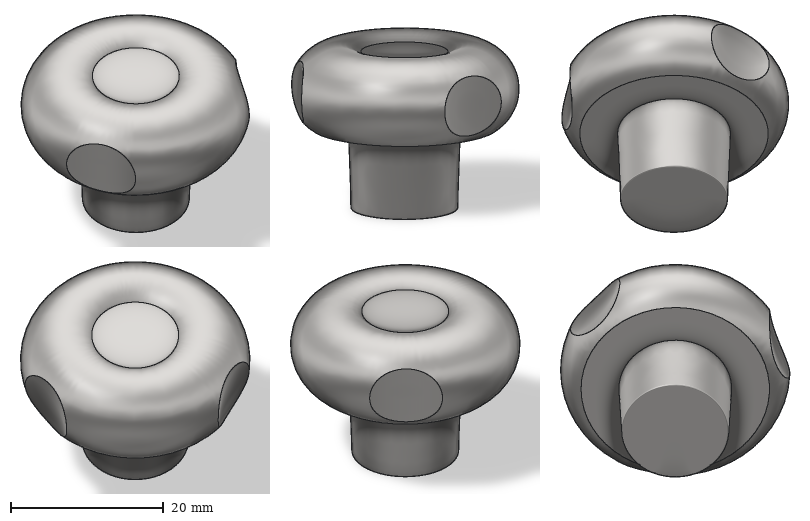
import cadquery as cq
import math

head_diameter = 30.0
tube_radius = 6.0
ring_radius = head_diameter / 2 - tube_radius
total_height = 22.0
ring_height = total_height - tube_radius
core_half_height = 5.0
head_bottom = ring_height - core_half_height
dish_floor = ring_height + core_half_height
tube_half_chord = math.sqrt(tube_radius**2 - core_half_height**2)
underside_radius = ring_radius + tube_half_chord
dish_radius = ring_radius - tube_half_chord

stem_bottom_radius = 7.0
stem_draft_angle = 2.0
stem_top_radius = stem_bottom_radius + head_bottom * math.tan(math.radians(stem_draft_angle))
stem_edge_fillet = 0.2

recess_angles = (-90.0, 28.8, 150.0)
recess_radius = 16.0
recess_depth = 1.5
recess_axis_distance = head_diameter / 2 - recess_depth + recess_radius


def make_head():
    """Revolved head with a shallow round dish in its top."""
    profile = (
        cq.Workplane("XZ")
        .moveTo(0, head_bottom)
        .lineTo(underside_radius, head_bottom)
        .threePointArc((ring_radius + tube_radius, ring_height), (dish_radius, dish_floor))
        .lineTo(0, dish_floor)
        .close()
    )
    return profile.revolve(360, (0, 0, 0), (0, 1, 0))


def make_stem():
    """Solid stem that narrows towards its rounded lower end."""
    profile = (
        cq.Workplane("XZ")
        .lineTo(stem_bottom_radius, 0)
        .lineTo(stem_top_radius, head_bottom)
        .lineTo(0, head_bottom)
        .close()
    )
    stem = profile.revolve(360, (0, 0, 0), (0, 1, 0))
    return stem.faces("<Z").edges().fillet(stem_edge_fillet)


def make_recess_cutter(angle):
    """Upright cylinder whose axis stands outside the rim at the given angle in degrees."""
    axis_x = recess_axis_distance * math.cos(math.radians(angle))
    axis_y = recess_axis_distance * math.sin(math.radians(angle))
    return (
        cq.Workplane("XY")
        .workplane(offset=head_bottom)
        .center(axis_x, axis_y)
        .circle(recess_radius)
        .extrude(total_height - head_bottom)
    )


head = make_head()
for recess_angle in recess_angles:
    head = head.cut(make_recess_cutter(recess_angle))

result = head.union(make_stem())